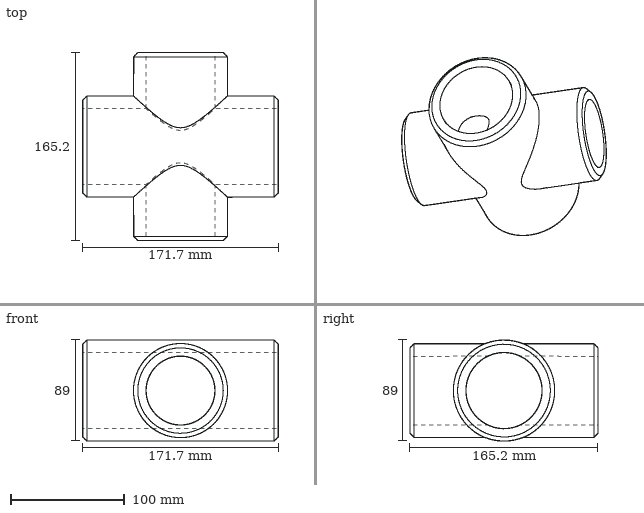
import cadquery as cq

main_length = 171.7
main_diameter = 89.0
main_bore = 66.6
branch_length = 165.2
branch_diameter = 82.6
branch_bore = 60.3
end_chamfer = 3.8


def centered_cylinder(plane, diameter, length):
    """Cylinder centred on the origin, along the normal of the plane."""
    return cq.Workplane(plane).circle(diameter / 2).extrude(length / 2, both=True)


def chamfered_bar(plane, diameter, length):
    """Centred cylinder with both end rims chamfered."""
    return centered_cylinder(plane, diameter, length).edges("%CIRCLE").chamfer(end_chamfer)


main_body = chamfered_bar("YZ", main_diameter, main_length)
branch_body = chamfered_bar("XZ", branch_diameter, branch_length)
body = main_body.union(branch_body)

main_hole = centered_cylinder("YZ", main_bore, main_length)
branch_hole = centered_cylinder("XZ", branch_bore, branch_length)
result = body.cut(main_hole).cut(branch_hole)